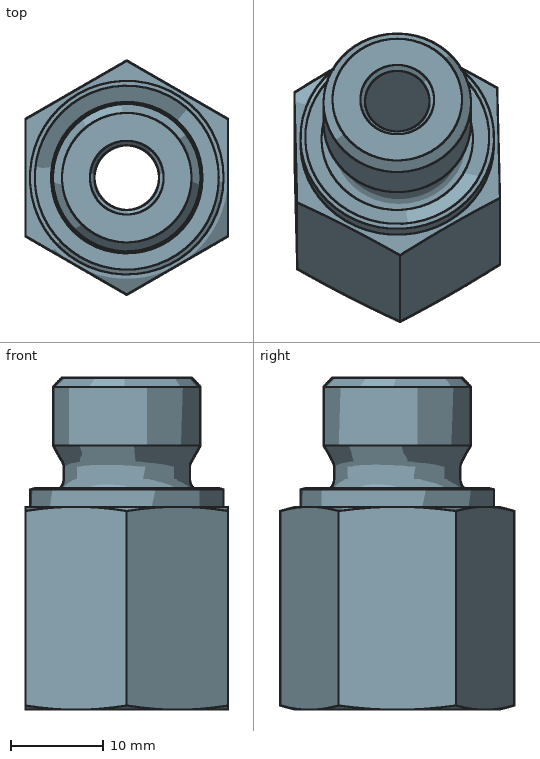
import cadquery as cq
import math

total_height = 36.0
hex_width = 22.0
hex_height = 22.0
hex_corner_radius = hex_width / math.sqrt(3)
hex_chamfer_angle = 15.0

collar_radius = 21.0 / 2
collar_top = 24.0
rim_radius = 9.97
rim_bevel = 0.15
dish_radius = 8.2
dish_depth = 0.45

neck_radius = 13.7 / 2
neck_bottom = 25.0
neck_top = 26.3
spigot_radius = 16.0 / 2
spigot_bottom = 28.62
spigot_chamfer_width = 0.97
spigot_chamfer_height = 1.0
neck_blend_radius = 1.08

bore_radius = 7.0 / 2
bore_chamfer = 0.5


def revolve_about_z(profile):
    """Turn a closed (radius, height) outline around the Z axis."""
    return profile.close().revolve(360, (0, 0, 0), (0, 1, 0))


def make_hex_body():
    """Hexagonal prism, corners on the Y axis, with both ends turned to a cone."""
    prism = (
        cq.Workplane("XY")
        .polygon(6, 2 * hex_corner_radius)
        .extrude(hex_height)
        .rotate((0, 0, 0), (0, 0, 1), 30)
    )
    flat_radius = hex_width / 2
    cone_radius = hex_width
    cone_drop = (cone_radius - flat_radius) * math.tan(math.radians(hex_chamfer_angle))
    envelope = revolve_about_z(
        cq.Workplane("XZ")
        .moveTo(0, 0)
        .lineTo(flat_radius, 0)
        .lineTo(cone_radius, cone_drop)
        .lineTo(cone_radius, hex_height - cone_drop)
        .lineTo(flat_radius, hex_height)
        .lineTo(0, hex_height)
    )
    return prism.intersect(envelope)


def make_turned_end():
    """Collar, undercut neck and chamfered spigot as one turned profile."""
    dish_floor = collar_top - dish_depth
    run = dish_radius - neck_radius
    drop = neck_bottom - dish_floor
    lower_blend_radius = (run**2 + drop**2) / (2 * run)
    half_sweep = math.atan2(drop, lower_blend_radius - run) / 2
    lower_blend_mid = (
        neck_radius + lower_blend_radius * (1 - math.cos(half_sweep)),
        neck_bottom - lower_blend_radius * math.sin(half_sweep),
    )

    flank_angle = math.radians(30)
    upper_blend_end = (
        neck_radius + neck_blend_radius * (1 - math.cos(flank_angle)),
        neck_top + neck_blend_radius * math.sin(flank_angle),
    )
    upper_blend_mid = (
        neck_radius + neck_blend_radius * (1 - math.cos(flank_angle / 2)),
        neck_top + neck_blend_radius * math.sin(flank_angle / 2),
    )

    return revolve_about_z(
        cq.Workplane("XZ")
        .moveTo(0, hex_height / 2)
        .lineTo(collar_radius, hex_height / 2)
        .lineTo(collar_radius, collar_top - rim_bevel)
        .lineTo(rim_radius, collar_top)
        .lineTo(dish_radius, dish_floor)
        .threePointArc(lower_blend_mid, (neck_radius, neck_bottom))
        .lineTo(neck_radius, neck_top)
        .threePointArc(upper_blend_mid, upper_blend_end)
        .lineTo(spigot_radius, spigot_bottom)
        .lineTo(spigot_radius, total_height - spigot_chamfer_height)
        .lineTo(spigot_radius - spigot_chamfer_width, total_height)
        .lineTo(0, total_height)
    )


def make_bore():
    """Through bore with a chamfered mouth at the spigot end."""
    return revolve_about_z(
        cq.Workplane("XZ")
        .moveTo(0, 0)
        .lineTo(bore_radius, 0)
        .lineTo(bore_radius, total_height - bore_chamfer)
        .lineTo(bore_radius + bore_chamfer, total_height)
        .lineTo(0, total_height)
    )


result = make_hex_body().union(make_turned_end()).cut(make_bore())